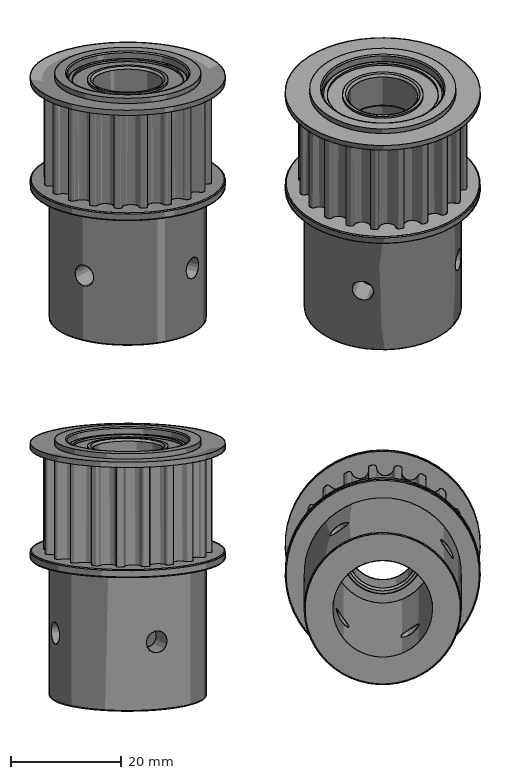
import cadquery as cq

TOTAL_HEIGHT = 47.6
HUB_RADIUS = 14.3
HUB_EDGE_CHAMFER = 0.2
POCKET_RADIUS = 11.1
POCKET_ENTRY_CHAMFER = 0.25
BORE_RADIUS = 9.05

FLANGE_DIAMETER = 35.5
FLANGE_RADIUS = FLANGE_DIAMETER / 2
LOWER_FLANGE_BOTTOM = 25.5
LOWER_FLANGE_TOP = 27.0
LOWER_FLANGE_CHAMFER = 0.2

TOOTH_COUNT = 20
TOOTH_PITCH_ANGLE = 360.0 / TOOTH_COUNT
TIP_RADIUS = 15.35
ROOT_RADIUS = 13.3
GROOVE_RADIUS = 1.55
TIP_FILLET = 0.52
TEETH_TOP = 45.6
TEETH_HEIGHT = TEETH_TOP - LOWER_FLANGE_TOP

CROSS_HOLE_RADIUS = 2.0
CROSS_HOLE_HEIGHT = 12.7

BEND_RADIUS = 15.52
UPPER_FLANGE_THICKNESS = 1.0
DISH_RISE = 0.35

BEARING_WIDTH = 7.0
BEARING_TOP = 46.4
BEARING_BOTTOM = BEARING_TOP - BEARING_WIDTH
BEARING_BORE_RADIUS = 6.35
INNER_RACE_CHAMFER = 0.45
INNER_RACE_RADIUS = 7.35
OUTER_RACE_INNER_RADIUS = 10.1
OUTER_RACE_CHAMFER = 0.35
SHIELD_RECESS = 0.4

CUT_MARGIN = 0.5


def cylinder(radius, bottom, top):
    return cq.Workplane("XY").workplane(offset=bottom).circle(radius).extrude(top - bottom)


def revolve_profile(points):
    """Turn a closed (radius, height) outline about the Z axis."""
    return cq.Workplane("XZ").polyline(points).close().revolve(360, (0, 0, 0), (0, 1, 0))


def make_toothed_rim():
    """Cylinder with round belt grooves and rounded tooth tips."""
    rim = cylinder(TIP_RADIUS, LOWER_FLANGE_TOP, TEETH_TOP)
    groove = (
        cq.Workplane("XY")
        .workplane(offset=LOWER_FLANGE_TOP)
        .center(ROOT_RADIUS + GROOVE_RADIUS, 0)
        .circle(GROOVE_RADIUS)
        .extrude(TEETH_HEIGHT)
    )
    for index in range(TOOTH_COUNT):
        rim = rim.cut(groove.rotate((0, 0, 0), (0, 0, 1), index * TOOTH_PITCH_ANGLE))
    return rim.edges("|Z").fillet(TIP_FILLET)


def make_pulley():
    hub = cylinder(HUB_RADIUS, 0, LOWER_FLANGE_BOTTOM).faces("<Z").edges().chamfer(HUB_EDGE_CHAMFER)
    lower_flange = cylinder(FLANGE_RADIUS, LOWER_FLANGE_BOTTOM, LOWER_FLANGE_TOP)
    lower_flange = lower_flange.edges().chamfer(LOWER_FLANGE_CHAMFER)
    boss = cylinder(ROOT_RADIUS, TEETH_TOP, TOTAL_HEIGHT)
    pulley = hub.union(lower_flange).union(make_toothed_rim()).union(boss)

    pulley = pulley.cut(cylinder(BORE_RADIUS, 0, TOTAL_HEIGHT))
    bearing_pocket = revolve_profile([
        (0, BEARING_BOTTOM),
        (POCKET_RADIUS, BEARING_BOTTOM),
        (POCKET_RADIUS, TOTAL_HEIGHT - POCKET_ENTRY_CHAMFER),
        (POCKET_RADIUS + POCKET_ENTRY_CHAMFER, TOTAL_HEIGHT),
        (0, TOTAL_HEIGHT),
    ])
    pulley = pulley.cut(bearing_pocket)

    for plane in ("XZ", "YZ"):
        cross_hole = (
            cq.Workplane(plane)
            .center(0, CROSS_HOLE_HEIGHT)
            .circle(CROSS_HOLE_RADIUS)
            .extrude(HUB_RADIUS + CUT_MARGIN, both=True)
        )
        pulley = pulley.cut(cross_hole)
    return pulley


def make_upper_flange():
    """Sheet ring seated on the teeth around the boss, its rim dished upward."""
    flat_top = TEETH_TOP + UPPER_FLANGE_THICKNESS
    return revolve_profile([
        (ROOT_RADIUS, TEETH_TOP),
        (BEND_RADIUS, TEETH_TOP),
        (FLANGE_RADIUS, TEETH_TOP + DISH_RISE),
        (FLANGE_RADIUS, flat_top + DISH_RISE),
        (BEND_RADIUS, flat_top),
        (ROOT_RADIUS, flat_top),
    ])


def make_bearing():
    """Ring with chamfered races and a shield recessed between them on both faces."""
    bearing = cylinder(POCKET_RADIUS, BEARING_BOTTOM, BEARING_TOP)
    bearing = bearing.edges().chamfer(OUTER_RACE_CHAMFER)
    bearing = bearing.cut(cylinder(BEARING_BORE_RADIUS, BEARING_BOTTOM, BEARING_TOP))
    bearing = bearing.edges(cq.selectors.RadiusNthSelector(0)).chamfer(INNER_RACE_CHAMFER)
    for recess_bottom in (BEARING_BOTTOM, BEARING_TOP - SHIELD_RECESS):
        recess_top = recess_bottom + SHIELD_RECESS
        recess = cylinder(OUTER_RACE_INNER_RADIUS, recess_bottom, recess_top)
        recess = recess.cut(cylinder(INNER_RACE_RADIUS, recess_bottom, recess_top))
        bearing = bearing.cut(recess)
    return bearing


pulley = make_pulley()
upper_flange = make_upper_flange()
bearing = make_bearing()

result = cq.Compound.makeCompound([pulley.val(), upper_flange.val(), bearing.val()])